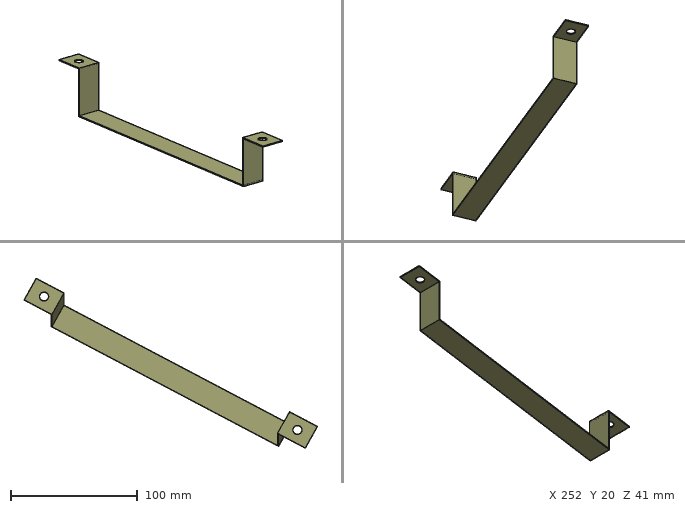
import cadquery as cq

length = 252.0
width = 20.0
height = 41.0

thickness = 1.0
tab_length = 25.0
hole_diameter = 7.0
hole_inset = tab_length / 2

half_length = length / 2
outer_half_span = half_length - tab_length + thickness
inner_half_span = outer_half_span - thickness
hole_offset = half_length - hole_inset


def strap_profile():
    """Hat-shaped outline in the XZ plane, centred on X with its base at Z = 0."""
    right_side = [
        (outer_half_span, 0),
        (outer_half_span, height - thickness),
        (half_length, height - thickness),
        (half_length, height),
        (inner_half_span, height),
        (inner_half_span, thickness),
    ]
    left_side = [(-x, z) for x, z in reversed(right_side)]
    return cq.Workplane("XZ").polyline(right_side + left_side).close()


strap = strap_profile().extrude(width / 2, both=True)

hole_cutters = (
    cq.Workplane("XY")
    .pushPoints([(-hole_offset, 0), (hole_offset, 0)])
    .circle(hole_diameter / 2)
    .extrude(height)
)

result = strap.cut(hole_cutters)